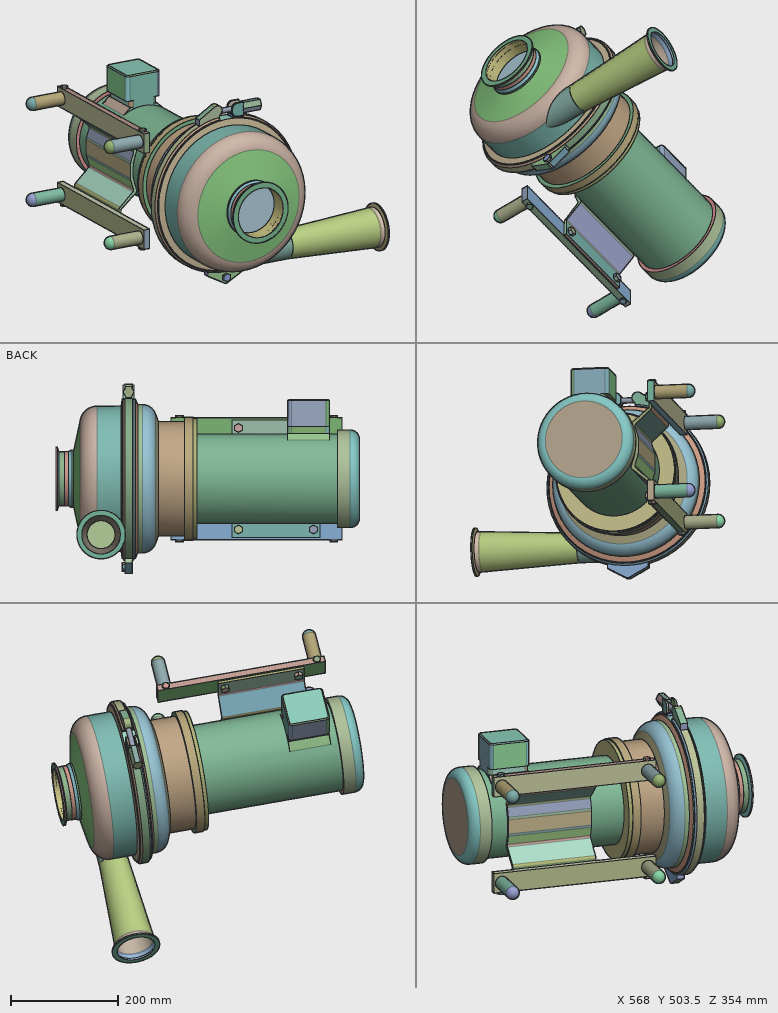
import cadquery as cq
import math


motor_dia = 168.0
fan_cover_dia = 183.0
fan_cover_length = 41.5
fan_cover_rounding = 18.0
motor_end = 304.5

flange_rim_dia = 225.5
flange_rim_end = 312.0
flange_dia = 230.0
flange_end = 328.0
adapter_dia = 214.0

casing_start = 376.0
back_casing_dia = 278.0
back_rounding_end = 406.0
back_rounding = 26.0
back_cone_tilt = math.radians(20)
clamp_seat_start = 414.5
clamp_seat_rim_start = 419.0
clamp_seat_rim_end = 444.0
clamp_seat_end = 446.0
front_casing_dia = 272.0
front_rounding_start = 491.0
front_rounding = 32.5
front_cone_tilt = math.radians(11)

inlet_start = 534.5
inlet_collar_dia = 108.0
inlet_collar_end = 538.0
inlet_taper_end = 544.0
inlet_pipe_dia = 102.0
inlet_pipe_end = 552.0
inlet_ferrule_dia = 101.5
inlet_lip_dia = 119.0
inlet_lip = 3.0
inlet_lip_slope = 3.0
inlet_bore_dia = 97.0
pump_end = 568.0

outlet_x = 483.5
outlet_z = -104.5
outlet_end = 301.5
outlet_lip_dia = 91.0
outlet_ferrule_dia = 76.0
outlet_bore_dia = 72.0
outlet_throat_dia = 56.0
outlet_lip = 3.0
outlet_lip_slope = 2.0
outlet_cone_end = 288.0
outlet_cone_start = 104.0
outlet_wall = (outlet_ferrule_dia - outlet_bore_dia) / 2

clamp_start = 421.5
clamp_end = 442.5
clamp_width = clamp_end - clamp_start
clamp_x = (clamp_start + clamp_end) / 2
clamp_dia = 308.0
clamp_chamfer = 3.5
clamp_seat_dia = 297.5
clamp_gap_front = -15.0
clamp_gap_back = 13.5
lever_width = 14.0
lug_thickness = 4.0
clamp_base_z = 147.5
lug_bottom_z = 150.0
lug_top_z = 175.5
lug_start_y = 12.5
lug_end_y = 36.5
lug_rounding = 9.5
rod_dia = 10.0
rod_z = 162.5
rod_start_y = -14.0
nut_end_y = 75.5
nut_half_width = 10.0
nut_half_height = 10.0
lever_pivot_y = -19.0
lever_pivot_z = 166.0
lever_radius = 11.0
lever_heel_angle = math.radians(-60)
lever_tip_y = -57.5
lever_tip_z = 155.0
hinge_half_length = 38.5
hinge_root_z = -142.0
hinge_shoulder_z = -157.5
hinge_tip_z = -177.0
hinge_tip_half_length = 2.0
hinge_pin_z = -165.0
hinge_pin_across_flats = 14.0
hinge_pin_head = 5.0

box_start = 56.0
box_end = 134.5
box_half_width = 36.5
box_bottom = 97.5
box_top = 148.0
box_edge_rounding = 7.0
box_lid_chamfer = 2.0
box_neck_half_width = 29.0
box_pad_half_width = 43.0
box_pad_top = 84.5

bracket_start = 74.5
bracket_end = 238.5
bar_start = 33.0
bar_end = 353.0
bar_top_y = -115.0
bar_thickness = 12.5
bar_inner_z = 75.5
bar_outer_z = 114.0
bar_bolt_head = 4.0
bar_bolt_dia = 14.0
foot_dia = 25.5
foot_z = (bar_inner_z + bar_outer_z) / 2
foot_tip_y = -202.0
foot_positions_x = [48.0, 337.0]
bracket_bolt_positions_x = [86.5, 226.5]
bracket_bolt_dia = 16.5
bracket_bolt_head = 7.5
bracket_outer_z = 110.0
bracket_thickness = 5.0
web_bend = (-89.0, 16.5)
neck_bend = (-82.0, 39.0)
wing_bend = (bar_top_y, 69.5)
inner_web_bend = (-83.0, 15.0)
inner_neck_bend = (-75.0, 42.5)
inner_wing_bend = (bar_top_y + bracket_thickness, 71.5)
web_bend_radius = 16.0
neck_bend_radius = 4.5
wing_bend_radius = 8.5
inner_wing_bend_radius = wing_bend_radius - bracket_thickness


def box_between(x_range, y_range, z_range):
    """Block spanning the given pairs of coordinates."""
    size = [high - low for low, high in (x_range, y_range, z_range)]
    middle = tuple((low + high) / 2 for low, high in (x_range, y_range, z_range))
    return cq.Workplane("XY").box(*size).translate(middle)


def yz_plane(x):
    """Workplane across the shaft, drawn in Y and Z, facing +X."""
    return cq.Workplane("YZ", origin=(x, 0, 0))


def point_on_arc(center, radius, angle):
    return (center[0] + radius * math.cos(angle), center[1] + radius * math.sin(angle))


def motor_and_pump_body():
    """Everything turned about the shaft axis, from fan cover to inlet ferrule."""
    back_center = (back_rounding_end, back_casing_dia / 2 - back_rounding)
    front_center = (front_rounding_start, front_casing_dia / 2 - front_rounding)
    front_arc_middle = point_on_arc(front_center, front_rounding, (math.pi / 2 + front_cone_tilt) / 2)
    front_arc_end = point_on_arc(front_center, front_rounding, front_cone_tilt)
    cover_center = (fan_cover_rounding, fan_cover_dia / 2 - fan_cover_rounding)
    cover_arc_middle = point_on_arc(cover_center, fan_cover_rounding, math.radians(135))
    back_arc_start = point_on_arc(back_center, back_rounding, math.pi - back_cone_tilt)
    back_arc_middle = point_on_arc(back_center, back_rounding, (1.5 * math.pi - back_cone_tilt) / 2)
    lip_base = pump_end - inlet_lip

    profile = (
        cq.Workplane("XY")
        .moveTo(0, 0)
        .lineTo(0, cover_center[1])
        .threePointArc(cover_arc_middle, (fan_cover_rounding, fan_cover_dia / 2))
        .lineTo(fan_cover_length, fan_cover_dia / 2)
        .lineTo(fan_cover_length, motor_dia / 2)
        .lineTo(motor_end, motor_dia / 2)
        .lineTo(motor_end, flange_rim_dia / 2)
        .lineTo(flange_rim_end, flange_rim_dia / 2)
        .lineTo(flange_rim_end, flange_dia / 2)
        .lineTo(flange_end, flange_dia / 2)
        .lineTo(flange_end, adapter_dia / 2)
        .lineTo(casing_start, adapter_dia / 2)
        .lineTo(*back_arc_start)
        .threePointArc(back_arc_middle, (back_center[0], back_casing_dia / 2))
        .lineTo(clamp_seat_start, back_casing_dia / 2)
        .lineTo(clamp_seat_rim_start, clamp_seat_dia / 2)
        .lineTo(clamp_seat_rim_end, clamp_seat_dia / 2)
        .lineTo(clamp_seat_end, front_casing_dia / 2)
        .lineTo(front_rounding_start, front_casing_dia / 2)
        .threePointArc(front_arc_middle, front_arc_end)
        .lineTo(inlet_start, inlet_collar_dia / 2)
        .lineTo(inlet_collar_end, inlet_collar_dia / 2)
        .lineTo(inlet_taper_end, inlet_pipe_dia / 2)
        .lineTo(inlet_pipe_end, inlet_pipe_dia / 2)
        .lineTo(inlet_pipe_end, inlet_ferrule_dia / 2)
        .lineTo(lip_base - inlet_lip_slope, inlet_ferrule_dia / 2)
        .lineTo(lip_base, inlet_lip_dia / 2)
        .lineTo(pump_end, inlet_lip_dia / 2)
        .lineTo(pump_end, 0)
        .close()
    )
    return profile.revolve(360, (0, 0, 0), (1, 0, 0))


def inlet_bore():
    return yz_plane(inlet_start).circle(inlet_bore_dia / 2).extrude(pump_end - inlet_start)


def turned_about_outlet(points):
    """Solid of revolution about the outlet axis from (radius, Y) points."""
    plane = cq.Workplane("XY", origin=(outlet_x, 0, outlet_z))
    return plane.polyline(points).close().revolve(360, (0, 0, 0), (0, 1, 0))


def outlet_pipe():
    """Conical pipe with a ferrule lip, running from inside the casing to +Y."""
    lip_base = outlet_end - outlet_lip
    return turned_about_outlet([
        (0, 0),
        (outlet_throat_dia / 2, 0),
        (outlet_throat_dia / 2, outlet_cone_start),
        (outlet_ferrule_dia / 2, outlet_cone_end),
        (outlet_ferrule_dia / 2, lip_base - outlet_lip_slope),
        (outlet_lip_dia / 2, lip_base),
        (outlet_lip_dia / 2, outlet_end),
        (0, outlet_end),
    ])


def outlet_bore():
    """Passage following the cone with a constant wall."""
    return turned_about_outlet([
        (0, outlet_cone_start),
        (outlet_throat_dia / 2 - outlet_wall, outlet_cone_start),
        (outlet_bore_dia / 2, outlet_cone_end),
        (outlet_bore_dia / 2, outlet_end),
        (0, outlet_end),
    ])


def clamp_ring():
    """Chamfered band, open at the top between the lug and the lever."""
    band = (
        yz_plane(clamp_start)
        .circle(clamp_dia / 2)
        .extrude(clamp_width)
        .edges()
        .chamfer(clamp_chamfer)
    )
    inside = yz_plane(0).circle(clamp_seat_dia / 2).extrude(pump_end)
    gap = box_between((0, pump_end), (clamp_gap_front, clamp_gap_back), (0, clamp_dia))
    return band.cut(inside).cut(gap)


def clamp_lug():
    """Two parallel plates, one on each side of the rod."""
    plates = cq.Workplane("XY")
    for x in (clamp_start, clamp_end - lug_thickness):
        plate = box_between((x, x + lug_thickness), (lug_start_y, lug_end_y), (lug_bottom_z, lug_top_z))
        plates = plates.union(plate.edges("|X and <Y").fillet(lug_rounding))
    return plates


def clamp_rod_and_nut():
    rod = (
        cq.Workplane("XZ", origin=(clamp_x, nut_end_y, rod_z))
        .circle(rod_dia / 2)
        .extrude(nut_end_y - rod_start_y)
    )
    half_flat = nut_half_width / 2
    nut = (
        cq.Workplane("XZ", origin=(clamp_x, nut_end_y, rod_z))
        .polyline([
            (-nut_half_width, 0),
            (-half_flat, nut_half_height),
            (half_flat, nut_half_height),
            (nut_half_width, 0),
            (half_flat, -nut_half_height),
            (-half_flat, -nut_half_height),
        ])
        .close()
        .extrude(nut_end_y - lug_end_y)
    )
    seat = box_between(
        (clamp_x - nut_half_width, clamp_x + nut_half_width),
        (lug_start_y + lug_rounding, lug_end_y),
        (clamp_base_z, rod_z),
    )
    return rod.union(nut).union(seat)


def clamp_lever():
    """Rounded head over the rod, with a tail sloping down to the band."""
    start = clamp_x - lever_width / 2
    slope = math.atan2(lever_pivot_z + lever_radius - lever_tip_z, lever_pivot_y - lever_tip_y)
    pivot = (lever_pivot_y, lever_pivot_z)
    tail = (
        yz_plane(start)
        .polyline([
            point_on_arc(pivot, lever_radius, math.pi / 2 + slope),
            (lever_tip_y, lever_tip_z),
            (lever_tip_y, clamp_base_z - lever_radius),
            (clamp_gap_front, clamp_base_z),
            point_on_arc(pivot, lever_radius, lever_heel_angle),
        ])
        .close()
        .extrude(lever_width)
    )
    head = yz_plane(start).center(*pivot).circle(lever_radius).extrude(lever_width)
    return tail.union(head)


def clamp_hinge():
    """Pointed hinge below the band, with a hexagonal pin head on its +X face."""
    body = (
        yz_plane(clamp_x - lever_width / 2)
        .polyline([
            (hinge_half_length, hinge_root_z),
            (hinge_half_length, hinge_shoulder_z),
            (hinge_tip_half_length, hinge_tip_z),
            (-hinge_tip_half_length, hinge_tip_z),
            (-hinge_half_length, hinge_shoulder_z),
            (-hinge_half_length, hinge_root_z),
        ])
        .close()
        .extrude(lever_width)
    )
    pin_head = (
        yz_plane(clamp_x + lever_width / 2)
        .center(0, hinge_pin_z)
        .polygon(6, hinge_pin_across_flats, circumscribed=True)
        .extrude(hinge_pin_head)
    )
    return body.union(pin_head)


def terminal_box():
    """Square box on a narrower neck, standing on a pad that slopes down to the motor."""
    box_x = (box_start, box_end)
    box = box_between(box_x, (-box_half_width, box_half_width), (box_bottom, box_top))
    box = box.edges("|Z").fillet(box_edge_rounding)
    box = box.faces(">Z").edges().chamfer(box_lid_chamfer)
    neck = box_between(box_x, (-box_neck_half_width, box_neck_half_width), (0, box_bottom))
    neck = neck.edges("|Z").fillet(box_edge_rounding)
    pad_edge_z = math.sqrt((motor_dia / 2) ** 2 - box_pad_half_width ** 2)
    pad = (
        yz_plane(box_start)
        .polyline([
            (0, 0),
            (box_pad_half_width, pad_edge_z),
            (box_neck_half_width, box_pad_top),
            (-box_neck_half_width, box_pad_top),
            (-box_pad_half_width, pad_edge_z),
        ])
        .close()
        .extrude(box_end - box_start)
    )
    return box.union(neck).union(pad)


def bracket():
    """Sheet bent around the motor's -Y side, ending in flat wings for the bars."""
    outer_face = [web_bend, neck_bend, wing_bend, (bar_top_y, bracket_outer_z)]
    wing_tip = (bar_top_y + bracket_thickness, bracket_outer_z)
    inner_face = [wing_tip, inner_wing_bend, inner_neck_bend, inner_web_bend]
    upper_half = outer_face + inner_face
    lower_half = [(y, -z) for y, z in reversed(upper_half)]
    sheet = (
        yz_plane(bracket_start)
        .polyline(upper_half + lower_half)
        .close()
        .extrude(bracket_end - bracket_start)
    )
    middle_x = (bracket_start + bracket_end) / 2
    bends = [
        (web_bend, web_bend_radius),
        (neck_bend, neck_bend_radius),
        (wing_bend, wing_bend_radius),
        (inner_neck_bend, neck_bend_radius),
        (inner_wing_bend, inner_wing_bend_radius),
    ]
    for (y, z), radius in bends:
        for side in (-1, 1):
            bend_edge = cq.selectors.NearestToPointSelector((middle_x, y, side * z))
            sheet = sheet.edges("|X").edges(bend_edge).fillet(radius)
    return sheet


def foot_bar():
    """Upper bar with its feet and bolts; the lower one is its mirror image."""
    bar_bottom_y = bar_top_y - bar_thickness
    bar = box_between((bar_start, bar_end), (bar_bottom_y, bar_top_y), (bar_inner_z, bar_outer_z))
    for x in foot_positions_x:
        dome_y = foot_tip_y + foot_dia / 2
        foot = (
            cq.Workplane("XZ", origin=(x, bar_bottom_y, foot_z))
            .circle(foot_dia / 2)
            .extrude(bar_bottom_y - dome_y)
        )
        dome = cq.Workplane("XY").sphere(foot_dia / 2).translate((x, dome_y, foot_z))
        bolt = (
            cq.Workplane("XY", origin=(x, bar_top_y - bar_thickness / 2, bar_outer_z))
            .polygon(6, bar_bolt_dia)
            .extrude(bar_bolt_head)
        )
        bar = bar.union(foot).union(dome).union(bolt)
    for x in bracket_bolt_positions_x:
        bolt = (
            cq.Workplane("XZ", origin=(x, bar_top_y + bracket_thickness + bracket_bolt_head, foot_z))
            .transformed(rotate=(0, 0, 90))
            .polygon(6, bracket_bolt_dia)
            .extrude(bracket_bolt_head)
        )
        bar = bar.union(bolt)
    return bar


upper_bar = foot_bar()

result = (
    motor_and_pump_body()
    .union(outlet_pipe())
    .cut(inlet_bore())
    .cut(outlet_bore())
    .union(clamp_ring())
    .union(clamp_lug())
    .union(clamp_rod_and_nut())
    .union(clamp_lever())
    .union(clamp_hinge())
    .union(terminal_box())
    .union(bracket())
    .union(upper_bar)
    .union(upper_bar.mirror("XY"))
)